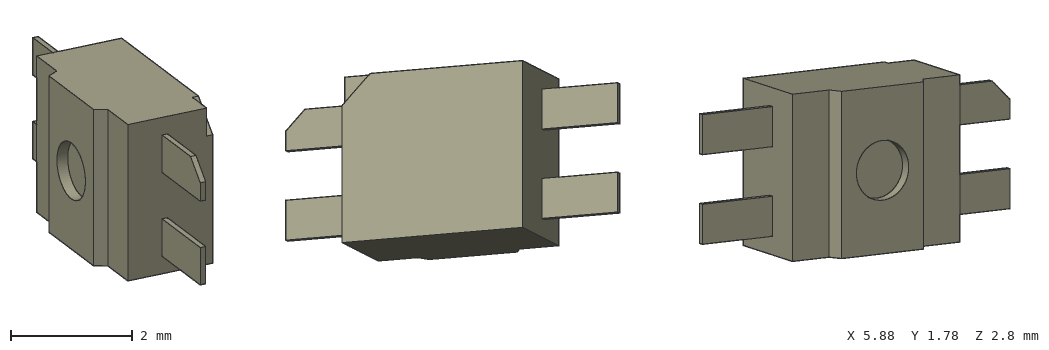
import cadquery as cq

TOTAL_LENGTH = 5.88
BODY_LENGTH = 3.2
BODY_HEIGHT = 2.8
BODY_DEPTH = 1.78

PAD_RISE = 0.205
PAD_BASE_WIDTH = 1.8
PAD_FACE_WIDTH = 1.565

RECESS_DIAMETER = 1.0
RECESS_DEPTH = 0.2

MARK_LEG = 0.5
MARK_DEPTH = 0.11

LEAD_HEIGHT = 0.67
LEAD_THICKNESS = 0.1
LEAD_PITCH = 1.5
LEAD_CHAMFER = 0.34

FRONT_Y = -BODY_DEPTH / 2
BACK_Y = BODY_DEPTH / 2
SHOULDER_Y = FRONT_Y + PAD_RISE
BODY_END_X = BODY_LENGTH / 2
BODY_TOP_Z = BODY_HEIGHT / 2
LEAD_LENGTH = (TOTAL_LENGTH - BODY_LENGTH) / 2


def make_housing():
    """Block with a raised pad, a round recess and a corner mark."""
    outline = [
        (-BODY_END_X, BACK_Y),
        (-BODY_END_X, SHOULDER_Y),
        (-PAD_BASE_WIDTH / 2, SHOULDER_Y),
        (-PAD_FACE_WIDTH / 2, FRONT_Y),
        (PAD_FACE_WIDTH / 2, FRONT_Y),
        (PAD_BASE_WIDTH / 2, SHOULDER_Y),
        (BODY_END_X, SHOULDER_Y),
        (BODY_END_X, BACK_Y),
    ]
    block = cq.Workplane("XY").polyline(outline).close().extrude(BODY_HEIGHT / 2, both=True)
    return block.cut(make_recess()).cut(make_corner_mark())


def make_recess():
    """Cylinder removed from the pad; the XZ plane extrudes toward -Y."""
    floor = cq.Workplane("XZ", origin=(0, FRONT_Y + RECESS_DEPTH, 0))
    return floor.circle(RECESS_DIAMETER / 2).extrude(RECESS_DEPTH)


def make_corner_mark():
    """Triangular prism removed from the top corner of the +Y face at the +X end."""
    triangle = [
        (BODY_END_X - MARK_LEG, BODY_TOP_Z),
        (BODY_END_X, BODY_TOP_Z),
        (BODY_END_X, BODY_TOP_Z - MARK_LEG),
    ]
    back_face = cq.Workplane("XZ", origin=(0, BACK_Y, 0))
    return back_face.polyline(triangle).close().extrude(MARK_DEPTH)


def make_lead(side, row):
    """Flat lead butting against a housing end: side is -1 or 1 along X, row is -1 or 1 along Z."""
    center_x = side * (BODY_END_X + LEAD_LENGTH / 2)
    center_z = row * LEAD_PITCH / 2
    lead = cq.Workplane("XY").box(LEAD_LENGTH, LEAD_THICKNESS, LEAD_HEIGHT)
    if side > 0 and row > 0:
        lead = lead.edges(">X and >Z").chamfer(LEAD_CHAMFER)
    return lead.translate((center_x, 0, center_z))


housing = make_housing()
leads = [make_lead(side, row).val() for side in (-1, 1) for row in (-1, 1)]

result = cq.Compound.makeCompound([housing.val(), *leads])